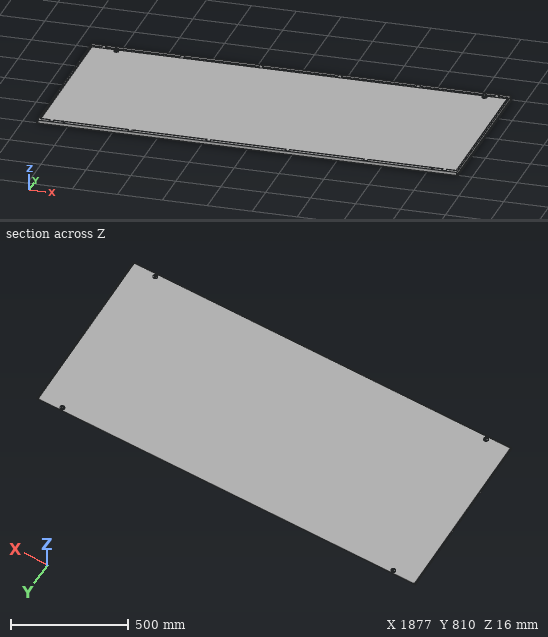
import cadquery as cq

length = 1877.0
width = 810.0
height = 16.0
sheet = 1.1
bend_radius = 2.0

end_setback = 5.3
upper_length = length - 2 * end_setback

long_flange = 19.0
short_flange = 8.0
flange_bottom = height - sheet

notch_width = 17.0
notch_depth = 15.0
notch_count = 6
notch_span = 1750.0
notch_pitch = notch_span / (notch_count - 1)

boss_diameter = 20.0
bore_diameter = 8.0
boss_height = sheet
boss_span_x = 1639.0
boss_edge_distance = 15.5
boss_span_y = width - 2 * boss_edge_distance


def centred_box(size_x, size_y, bottom, top):
    box = cq.Workplane("XY").box(size_x, size_y, top - bottom, centered=(True, True, False))
    return box.translate((0, 0, bottom))


def make_tray():
    floor = centred_box(length, width, 0, sheet)
    walls = centred_box(upper_length, width, sheet, height)
    walls = walls.edges(">Z and |X").fillet(bend_radius)
    inside = centred_box(upper_length - 2 * sheet, width - 2 * sheet, sheet, flange_bottom)
    opening = centred_box(
        upper_length - 2 * short_flange, width - 2 * long_flange, flange_bottom, height
    )
    return floor.union(walls).cut(inside).cut(opening)


def make_notches():
    centre_y = width / 2 - long_flange + notch_depth / 2
    centres = []
    for i in range(notch_count):
        x = -notch_span / 2 + i * notch_pitch
        centres += [(x, -centre_y), (x, centre_y)]
    plane = cq.Workplane("XY").workplane(offset=flange_bottom)
    return plane.pushPoints(centres).rect(notch_width, notch_depth).extrude(sheet)


def corner_cylinders(diameter, bottom, top):
    """One upright cylinder at each of the four boss positions."""
    plane = cq.Workplane("XY").workplane(offset=bottom)
    centres = plane.rect(boss_span_x, boss_span_y, forConstruction=True).vertices()
    return centres.circle(diameter / 2).extrude(top - bottom)


bosses = corner_cylinders(boss_diameter, sheet, sheet + boss_height)
bores = corner_cylinders(bore_diameter, sheet, height)
result = make_tray().cut(make_notches()).union(bosses).cut(bores)